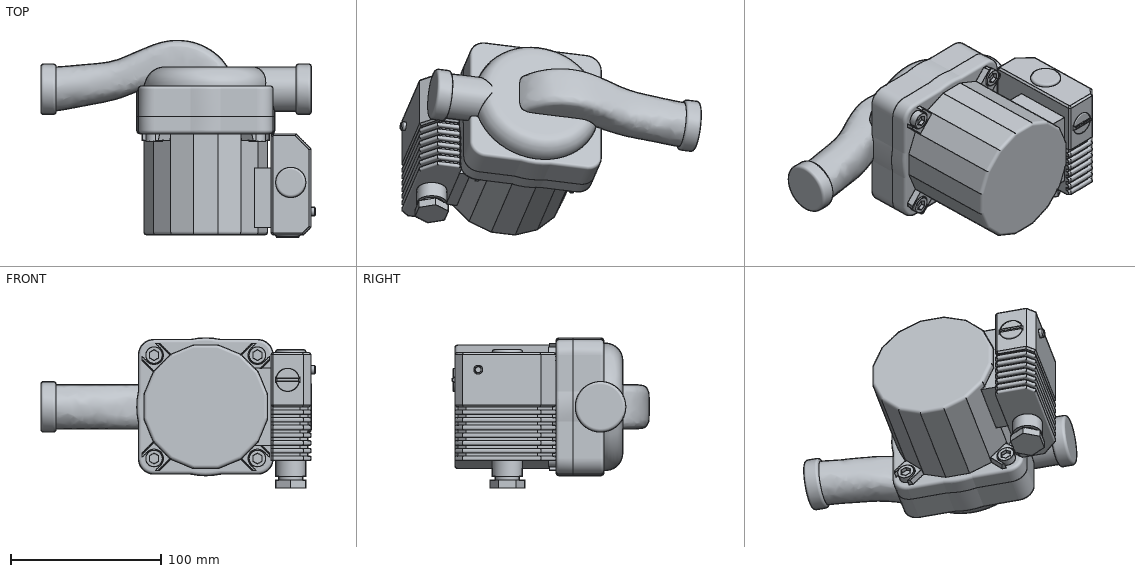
import cadquery as cq
import math


HOUSING_SIDE = 89.7
HOUSING_CORNER_RADIUS = 10.5
BULGE_RADIUS = 46.0
HOUSING_EDGE_FILLET = 2.2
CASING_BACK_Y = 2.2
JOINT_Y = -18.3
FLANGE_FRONT_Y = -29.6

VOLUTE_RADIUS = 42.5
VOLUTE_BACK_Y = 14.8
VOLUTE_FILLET = 11.7
PIPE_RADIUS = 14.8
PORT_LENGTH = 180.0
INLET_END_X = -109.8
OUTLET_END_X = INLET_END_X + PORT_LENGTH
COLLAR_RADIUS = 16.8
COLLAR_LENGTH = 10.2
COLLAR_FILLET = 2.0

INLET_PATH = [
    (INLET_END_X + COLLAR_LENGTH / 2, -0.2),
    (-82.4, 2.5),
    (-59.7, 6.4),
    (-33.5, 17.0),
    (-17.8, 20.3),
    (-0.4, 13.5),
    (6.8, -4.2),
]
INLET_START_HEADING = (1, 0.06)
INLET_END_HEADING = (0, -1)
INLET_SECTIONS = 16
DUCT_HALF_WIDTH = 12.3
DUCT_EXPONENT = 4.5
ROUND_EXPONENT = 2
NARROWING_SHARE = 0.4
SQUARING_SHARE = 0.7
SECTION_POINTS = 24

CAN_SIDES = 16
CAN_FLAT_RADIUS = 41.2
CAN_CORNER_RADIUS = CAN_FLAT_RADIUS / math.cos(math.pi / CAN_SIDES)
CAN_FLAT_WIDTH = 2 * CAN_FLAT_RADIUS * math.tan(math.pi / CAN_SIDES)
CAN_FRONT_Y = -97.0
CAN_FILLET = 2.2

SCREW_OFFSET = HOUSING_SIDE / 2 - HOUSING_CORNER_RADIUS
SCREW_HEAD_RADIUS = 5.5
SCREW_HEAD_HEIGHT = 5.1
SCREW_SOCKET_FLATS = 6.2
SCREW_SOCKET_DEPTH = 2.7
SCREW_CORNERS = [(sx * SCREW_OFFSET, sz * SCREW_OFFSET) for sx in (-1, 1) for sz in (-1, 1)]
PAD_HEIGHT = 4.4
PAD_SIDE_TAPER = 8
PAD_RIM = 2.5
SCREW_CLEARANCE_RADIUS = 6.2

BOX_LEFT_X = 43.4
BOX_RIGHT_X = 70.0
BOX_TOP_Z = 36.2
BOX_BACK_Y = FLANGE_FRONT_Y
BOX_FRONT_Y = CAN_FRONT_Y
BOX_BACK_CUT = 10.0
BOX_FRONT_CUT = 5.1
BOX_BEVEL = 1.3
BOX_SOLID_BOTTOM_Z = 0.0
RIB_COUNT = 7
RIB_PITCH = 5.1
RIB_THICKNESS = 3.1
RIB_DEPTH = 2.2
RIB_FILLET = 1.1
BOX_BOTTOM_Z = BOX_SOLID_BOTTOM_Z - RIB_COUNT * RIB_PITCH

FOOT_INNER_X = 27.5
FOOT_HALF_HEIGHT = 25.8
FOOT_BACK_Y = -52.3
FOOT_FRONT_Y = -92.0

CABLE_X = 56.5
CABLE_Y = -62.0
PLUG_RADIUS = 10.0
PLUG_HEIGHT = 1.8
PLUG_FILLET = 1.6

COVER_SCREW_Y = -81.5
COVER_SCREW_Z = 24.7
COVER_SCREW_RADIUS = 3.0
COVER_SCREW_HEIGHT = 3.1
COVER_SCREW_CHAMFER = 1.0

GLAND_RADIUS = 10.0
GLAND_BODY_LENGTH = 10.5
GLAND_NECK_RADIUS = 8.0
GLAND_NECK_LENGTH = 2.5
GLAND_NUT_LENGTH = 5.3

KNOB_X = 54.5
KNOB_Z = 18.0
KNOB_RADIUS = 7.7
KNOB_DISC_HEIGHT = 1.1
KNOB_DISC_FILLET = 0.5
KNOB_BAR_LENGTH = 16.5
KNOB_BAR_WIDTH = 3.7
KNOB_BAR_HEIGHT = 1.8
KNOB_BAR_TAPER = 30


def facing_front(y):
    """Workplane at the given Y whose normal points to -Y; local axes are X and Z."""
    return cq.Workplane("XZ", origin=(0, y, 0))


def cylinder_along_x(x_start, length, radius):
    return cq.Workplane("YZ", origin=(x_start, 0, 0)).circle(radius).extrude(length)


def housing_slab(back_y, front_y):
    """Rounded square with a bulge on each side, between two Y levels."""
    length = back_y - front_y
    square = facing_front(back_y).rect(HOUSING_SIDE, HOUSING_SIDE).extrude(length)
    square = square.edges("|Y").fillet(HOUSING_CORNER_RADIUS)
    return square.union(facing_front(back_y).circle(BULGE_RADIUS).extrude(length))


def superellipse_point(turn, half_height, half_width, exponent):
    """Point at the given fraction of a turn around a superellipse."""
    cosine = math.cos(2 * math.pi * turn)
    sine = math.sin(2 * math.pi * turn)
    reach = (abs(cosine) ** exponent + abs(sine) ** exponent) ** (-1 / exponent)
    return half_height * reach * cosine, half_width * reach * sine


def blend(start, end, share):
    """Value between start and end, held at the end once the share reaches 1."""
    return start + (end - start) * min(share, 1)


def make_inlet():
    path = cq.Edge.makeSpline(
        [cq.Vector(x, y, 0) for x, y in INLET_PATH],
        tangents=[cq.Vector(*INLET_START_HEADING, 0), cq.Vector(*INLET_END_HEADING, 0)],
    )
    sections = []
    for station in range(INLET_SECTIONS):
        along = station / (INLET_SECTIONS - 1)
        half_width = blend(PIPE_RADIUS, DUCT_HALF_WIDTH, along / NARROWING_SHARE)
        exponent = blend(ROUND_EXPONENT, DUCT_EXPONENT, (along / SQUARING_SHARE) ** 2)
        points = [
            superellipse_point(index / SECTION_POINTS, PIPE_RADIUS, half_width, exponent)
            for index in range(SECTION_POINTS)
        ]
        plane = cq.Plane(path.positionAt(along), (0, 0, 1), path.tangentAt(along))
        sections.append(cq.Workplane(plane).spline(points, periodic=True).wire().val())
    return cq.Workplane(cq.Solid.makeLoft(sections))


def make_collar(x_start):
    return cylinder_along_x(x_start, COLLAR_LENGTH, COLLAR_RADIUS).edges().fillet(COLLAR_FILLET)


def make_casing():
    body = housing_slab(CASING_BACK_Y, JOINT_Y).faces(">Y").edges().fillet(HOUSING_EDGE_FILLET)
    volute = facing_front(VOLUTE_BACK_Y).circle(VOLUTE_RADIUS).extrude(VOLUTE_BACK_Y - JOINT_Y)
    volute = volute.faces(">Y").edges().fillet(VOLUTE_FILLET)
    outlet = cylinder_along_x(0, OUTLET_END_X - COLLAR_LENGTH / 2, PIPE_RADIUS)
    casing = body.union(volute).union(make_inlet()).union(outlet)
    casing = casing.union(make_collar(INLET_END_X))
    return casing.union(make_collar(OUTLET_END_X - COLLAR_LENGTH))


def make_can(back_y):
    can = facing_front(back_y).polygon(CAN_SIDES, 2 * CAN_CORNER_RADIUS).extrude(back_y - CAN_FRONT_Y)
    half_step = 180 / CAN_SIDES
    return can.rotate((0, 0, 0), (0, 1, 0), half_step)


def make_pads():
    """Raised strips from the can to each corner, each with a slot around the screw head."""
    reach = HOUSING_SIDE
    flat_side = HOUSING_SIDE - 2 * PAD_RIM
    limits = facing_front(FLANGE_FRONT_Y).rect(flat_side, flat_side).extrude(PAD_HEIGHT)
    limits = limits.edges("|Y").fillet(HOUSING_CORNER_RADIUS - PAD_RIM)
    screw_distance = SCREW_OFFSET * math.sqrt(2)
    pads = None
    for angle in (45, 135):
        turned = facing_front(FLANGE_FRONT_Y).transformed(rotate=(0, 0, angle))
        strip = turned.rect(2 * reach, CAN_FLAT_WIDTH).extrude(PAD_HEIGHT, taper=PAD_SIDE_TAPER)
        for side in (-1, 1):
            hole = turned.center(side * screw_distance, 0).circle(SCREW_CLEARANCE_RADIUS)
            strip = strip.cut(hole.extrude(PAD_HEIGHT))
            slot = turned.center(side * (screw_distance + reach / 2), 0)
            slot = slot.rect(reach, 2 * SCREW_CLEARANCE_RADIUS)
            strip = strip.cut(slot.extrude(PAD_HEIGHT))
        pads = strip if pads is None else pads.union(strip)
    return pads.intersect(limits)


def make_motor():
    flange = housing_slab(JOINT_Y, FLANGE_FRONT_Y).faces("<Y").edges().fillet(HOUSING_EDGE_FILLET)
    can = make_can(JOINT_Y).faces("<Y").edges().fillet(CAN_FILLET)
    return flange.union(make_pads()).union(can)


def make_screw(x, z):
    """Socket head seated on the flange."""
    head = facing_front(FLANGE_FRONT_Y).center(x, z).circle(SCREW_HEAD_RADIUS).extrude(SCREW_HEAD_HEIGHT)
    socket = facing_front(FLANGE_FRONT_Y - SCREW_HEAD_HEIGHT).center(x, z)
    socket = socket.polygon(6, SCREW_SOCKET_FLATS, circumscribed=True)
    return head.cut(socket.extrude(-SCREW_SOCKET_DEPTH))


def box_slab(bottom_z, top_z, inset=0):
    """Box outline with two cut corners and bevelled motor-side edges; the inset keeps the motor side."""
    back = BOX_BACK_Y - inset
    front = BOX_FRONT_Y + inset
    right = BOX_RIGHT_X - inset
    outline = [
        (BOX_LEFT_X, back),
        (right - BOX_BACK_CUT, back),
        (right, back - BOX_BACK_CUT),
        (right, front + BOX_FRONT_CUT),
        (right - BOX_FRONT_CUT, front),
        (BOX_LEFT_X, front),
    ]
    slab = cq.Workplane("XY", origin=(0, 0, bottom_z)).polyline(outline).close()
    slab = slab.extrude(top_z - bottom_z)
    return slab.faces("<X").edges("|Z").chamfer(BOX_BEVEL)


def make_foot():
    """Block that joins the box to the side of the motor can."""
    length = BOX_LEFT_X - FOOT_INNER_X
    foot = facing_front(FOOT_BACK_Y).center(FOOT_INNER_X + length / 2, 0)
    foot = foot.rect(length, 2 * FOOT_HALF_HEIGHT).extrude(FOOT_BACK_Y - FOOT_FRONT_Y)
    return foot.cut(make_can(JOINT_Y))


def make_terminal_box():
    box = box_slab(BOX_SOLID_BOTTOM_Z, BOX_TOP_Z)
    box = box.faces("<Z or >Z").edges().chamfer(BOX_BEVEL)
    box = box.union(box_slab(BOX_BOTTOM_Z, BOX_SOLID_BOTTOM_Z + RIB_DEPTH, RIB_DEPTH))
    for index in range(1, RIB_COUNT + 1):
        rib_bottom = BOX_SOLID_BOTTOM_Z - index * RIB_PITCH
        rib = box_slab(rib_bottom, rib_bottom + RIB_THICKNESS)
        rib = rib.faces("<Z or >Z").edges("not <X").fillet(RIB_FILLET)
        box = box.union(rib)
    plug = cq.Workplane("XY", origin=(CABLE_X, CABLE_Y, BOX_TOP_Z)).circle(PLUG_RADIUS)
    plug = plug.extrude(PLUG_HEIGHT).faces(">Z").edges().fillet(PLUG_FILLET)
    cover_screw = cq.Workplane("YZ", origin=(BOX_RIGHT_X, COVER_SCREW_Y, COVER_SCREW_Z))
    cover_screw = cover_screw.circle(COVER_SCREW_RADIUS).extrude(COVER_SCREW_HEIGHT)
    cover_screw = cover_screw.faces(">X").edges().chamfer(COVER_SCREW_CHAMFER)
    return box.union(make_foot()).union(plug).union(cover_screw)


def make_gland():
    axis = cq.Workplane("XY", origin=(CABLE_X, CABLE_Y, BOX_BOTTOM_Z))
    body = axis.circle(GLAND_RADIUS).extrude(-GLAND_BODY_LENGTH)
    neck = body.faces("<Z").workplane().circle(GLAND_NECK_RADIUS).extrude(GLAND_NECK_LENGTH)
    nut = neck.faces("<Z").workplane()
    return nut.polygon(6, 2 * GLAND_RADIUS, circumscribed=True).extrude(GLAND_NUT_LENGTH)


def make_knob():
    base = facing_front(BOX_FRONT_Y).center(KNOB_X, KNOB_Z)
    disc = base.circle(KNOB_RADIUS).extrude(KNOB_DISC_HEIGHT)
    disc = disc.faces("<Y").edges().fillet(KNOB_DISC_FILLET)
    bar = base.rect(KNOB_BAR_LENGTH, KNOB_BAR_WIDTH).extrude(KNOB_BAR_HEIGHT, taper=KNOB_BAR_TAPER)
    return disc.union(bar)


casing = make_casing()
motor = make_motor()
screws = [make_screw(x, z) for x, z in SCREW_CORNERS]
terminal_box = make_terminal_box()
gland = make_gland()
knob = make_knob()

bodies = [casing, motor, *screws, terminal_box, gland, knob]
result = cq.Compound.makeCompound([body.solids().val() for body in bodies])